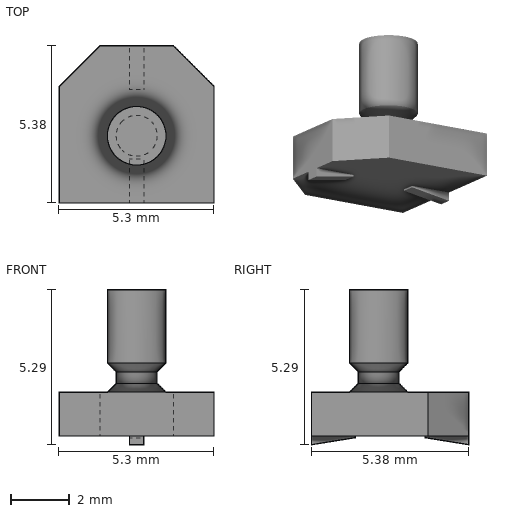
import cadquery as cq

plate_width = 5.3
plate_length = 5.38
plate_thickness = 1.5
plate_front = -2.295
plate_back = plate_front + plate_length
corner_cut = 1.4

post_radius = 2.0 / 2
neck_radius = 1.4 / 2
cone_height = 0.3
neck_height = 0.4
post_height = 3.5

foot_width = 0.5
foot_length = 1.5
foot_outer_depth = 0.295
foot_inner_depth = 0.055


def make_plate():
    """Rectangular plate with both back corners cut at 45 degrees."""
    return (
        cq.Workplane("XY")
        .box(plate_width, plate_length, plate_thickness, centered=(True, False, False))
        .translate((0, plate_front, 0))
        .edges("|Z and >Y")
        .chamfer(corner_cut)
    )


def make_post():
    """Revolved post: flared foot, narrow neck, cone and cylindrical head."""
    neck_bottom = plate_thickness + cone_height
    neck_top = neck_bottom + neck_height
    head_bottom = neck_top + cone_height
    post_top = plate_thickness + post_height
    return (
        cq.Workplane("XZ")
        .moveTo(0, plate_thickness)
        .lineTo(post_radius, plate_thickness)
        .lineTo(neck_radius, neck_bottom)
        .lineTo(neck_radius, neck_top)
        .lineTo(post_radius, head_bottom)
        .lineTo(post_radius, post_top)
        .lineTo(0, post_top)
        .close()
        .revolve(360, (0, 0), (0, 1))
    )


def make_foot(outer_y, inward):
    """Foot from the plate edge at outer_y, getting shallower in the inward Y direction (+1 or -1)."""
    inner_y = outer_y + inward * foot_length
    return (
        cq.Workplane("YZ")
        .moveTo(outer_y, 0)
        .lineTo(outer_y, -foot_outer_depth)
        .lineTo(inner_y, -foot_inner_depth)
        .lineTo(inner_y, 0)
        .close()
        .extrude(foot_width / 2, both=True)
    )


plate = make_plate()
post = make_post()
feet = [make_foot(outer_y, inward) for outer_y, inward in ((plate_front, 1), (plate_back, -1))]

result = cq.Compound.makeCompound([plate.val(), post.val(), *[foot.val() for foot in feet]])